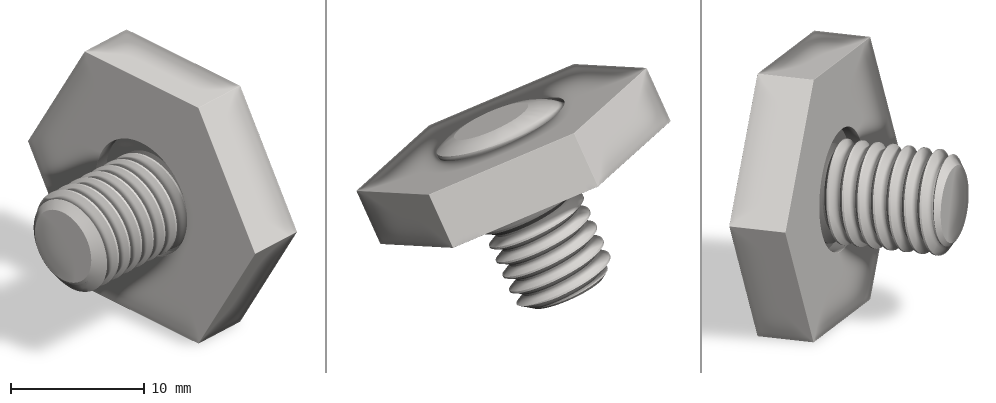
import cadquery as cq
import math

plate_width = 23.8
plate_thickness = 4.52
edge_radius = 0.02
corner_half_turn = 30.0
corner_loss = edge_radius * (1 / math.cos(math.radians(corner_half_turn)) - 1)
hex_across_corners = plate_width + 2 * corner_loss
hole_radius = 4.75
recess_radius = 5.2
ledge_depth = 1.1

screw_x = 0.43
screw_z = -0.29
overall_depth = 14.38
head_rise = 0.95
head_radius = 7.0
head_rim_height = 0.88
head_flat_radius = 3.05
dome_mid_radius = 5.28
head_height = plate_thickness - ledge_depth + head_rise
shank_length = overall_depth - head_height

thread_radius = 4.0
thread_depth = 0.8
core_radius = thread_radius - thread_depth
pitch = 1.25
crest_width = pitch / 8
flank_angle = 30.0
ridge_embed = 0.07
tip_crest_gap = 1.83
tip_radius = 2.95
tip_chamfer_height = 0.79

thread_turns = math.ceil(shank_length / pitch)
thread_start = shank_length - tip_crest_gap - thread_turns * pitch


def make_plate():
    """Hexagonal plate with a stepped hole: a narrow front and a wider recess at the back."""
    plate = cq.Workplane("XZ").polygon(6, hex_across_corners).extrude(-plate_thickness)
    plate = plate.edges().fillet(edge_radius)
    hole = cq.Workplane("XZ").circle(hole_radius).extrude(-plate_thickness)
    plate = plate.cut(hole).edges("%CIRCLE").edges("<Y").fillet(edge_radius)
    return plate.cut(make_recess())


def make_recess():
    """Cylinder that bounds the screw head, from the ledge to the top of the dome."""
    return (
        cq.Workplane("XZ", origin=(0, ledge_depth, 0))
        .circle(recess_radius)
        .extrude(-head_height)
    )


def make_thread_ridge():
    """Helical ridge, rooted inside the core and running past both ends of the shank."""
    root_radius = core_radius - ridge_embed
    crest_half = crest_width / 2
    root_half = crest_half + (thread_radius - root_radius) * math.tan(math.radians(flank_angle))
    ridge_length = (thread_turns + 3) * pitch
    helix = cq.Wire.makeHelix(pitch, ridge_length, core_radius, cq.Vector(0, 0, thread_start))
    return (
        cq.Workplane("XZ", origin=(0, 0, thread_start))
        .moveTo(root_radius, -root_half)
        .lineTo(thread_radius, -crest_half)
        .lineTo(thread_radius, crest_half)
        .lineTo(root_radius, root_half)
        .close()
        .sweep(helix, isFrenet=True)
    )


def make_shank():
    """Threaded shank along +Z from the head underside, with a conical tip."""
    cone_slope = (thread_radius - tip_radius) / tip_chamfer_height
    cone_base_radius = tip_radius + cone_slope * shank_length
    tip_cone = cq.Workplane(cq.Solid.makeCone(cone_base_radius, tip_radius, shank_length))
    core = cq.Workplane("XY").circle(core_radius).extrude(shank_length).intersect(tip_cone)
    return make_thread_ridge().intersect(tip_cone).union(core)


def make_head():
    """Button head along -Z from its underside at Z = 0."""
    return (
        cq.Workplane("XZ")
        .lineTo(head_radius, 0)
        .lineTo(head_radius, -head_rim_height)
        .threePointArc((dome_mid_radius, head_rise - head_height), (head_flat_radius, -head_height))
        .lineTo(0, -head_height)
        .close()
        .revolve(360, (0, 0, 0), (0, 1, 0))
    )


def place_screw(part):
    """Turn the local +Z axis to -Y and set the head underside on the ledge."""
    return part.rotate((0, 0, 0), (1, 0, 0), 90).translate((screw_x, ledge_depth, screw_z))


def make_screw():
    """Button-head screw, its head trimmed to the recess it fills."""
    head = place_screw(make_head()).intersect(make_recess())
    return head.union(place_screw(make_shank()))


plate = make_plate().solids()
screw = make_screw().solids()
result = cq.Compound.makeCompound([plate.val(), screw.val()])